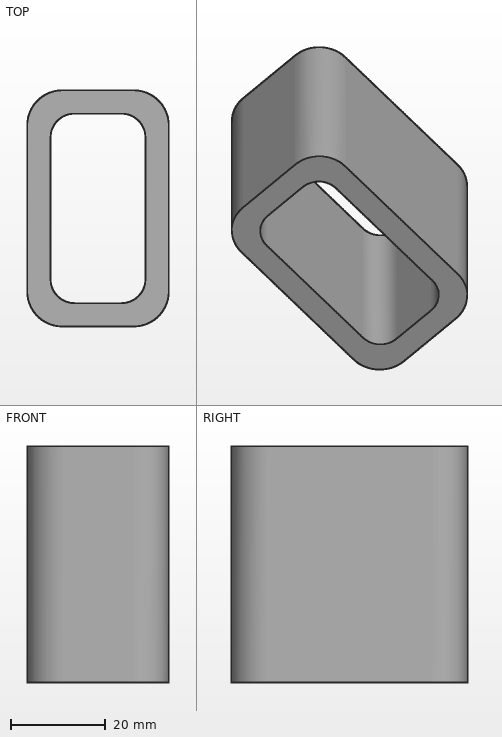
import cadquery as cq

width = 30.0
depth = 50.0
height = 50.0

wall = 5.0
outer_corner_radius = 7.5
inner_corner_radius = 5.0


def rounded_block(size_x, size_y, corner_radius):
    """Full-height block with rounded vertical edges, standing on Z = 0."""
    block = cq.Workplane("XY").rect(size_x, size_y).extrude(height)
    return block.edges("|Z").fillet(corner_radius)


outer_body = rounded_block(width, depth, outer_corner_radius)
through_opening = rounded_block(width - 2 * wall, depth - 2 * wall, inner_corner_radius)

result = outer_body.cut(through_opening)